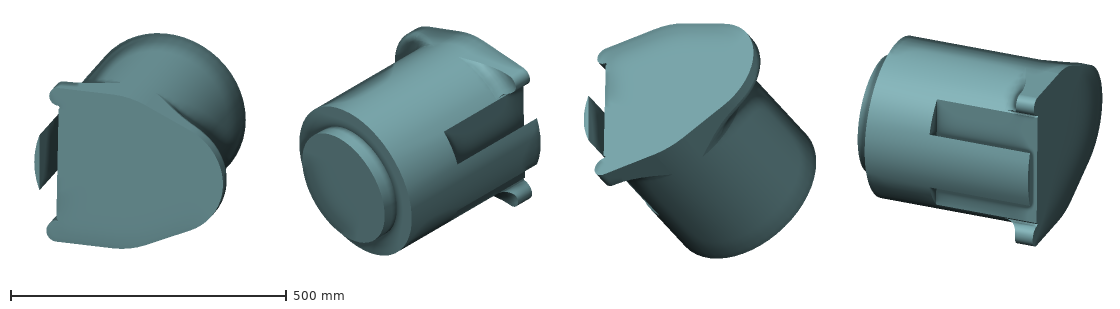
import cadquery as cq
import math

BARREL_RADIUS = 150.0
BARREL_LENGTH = 320.0
SPIGOT_RADIUS = 110.0
SPIGOT_LENGTH = 30.0

PLATE_THICKNESS = 35.0
ROOT_RADIUS = 30.0
FOOT_HEIGHT = PLATE_THICKNESS + ROOT_RADIUS
NOSE_REACH = 210.63
NOSE_RADIUS = 107.0
NOSE_EDGE_RADIUS = 15.0

UPPER_TOE_X = -104.0
UPPER_TOE_RADIUS = 17.35
UPPER_STEP_X = -103.3
UPPER_ROOT_X = -101.1
LOWER_TOE_X = -107.5
LOWER_TOE_RADIUS = 19.5
LOWER_STEP_X = -106.0
LOWER_ROOT_X = -103.8

SLOT_LENGTH = 197.0
SLOT_OUTER_X = -140.0
SLOT_INNER_X = -105.6
SLOT_WALL_TILT = math.radians(1.17)


def prism(profile, length):
    """Extrude an XZ profile from the mounting face towards +Y."""
    return profile.extrude(-length)


def barrel_height(x):
    """Half height of the barrel circle at a given X."""
    return math.sqrt(BARREL_RADIUS**2 - x**2)


def make_barrel():
    barrel = prism(cq.Workplane("XZ").circle(BARREL_RADIUS), BARREL_LENGTH)
    spigot = prism(cq.Workplane("XZ").circle(SPIGOT_RADIUS), BARREL_LENGTH + SPIGOT_LENGTH)
    return barrel.union(spigot)


def make_slot():
    half_height = BARREL_RADIUS
    lean = half_height * math.tan(SLOT_WALL_TILT)
    profile = cq.Workplane("XZ").polyline([
        (SLOT_OUTER_X, -half_height),
        (SLOT_INNER_X - lean, -half_height),
        (SLOT_INNER_X + lean, half_height),
        (SLOT_OUTER_X, half_height),
    ]).close()
    return prism(profile, SLOT_LENGTH)


def nose_blank(height):
    """Nose tapering along the two common tangents of barrel and nose arc."""
    center_x = NOSE_REACH - NOSE_RADIUS
    cos_tangent = (BARREL_RADIUS - NOSE_RADIUS) / center_x
    sin_tangent = math.sqrt(1 - cos_tangent**2)
    start = (BARREL_RADIUS * cos_tangent, BARREL_RADIUS * sin_tangent)
    end = (center_x + NOSE_RADIUS * cos_tangent, NOSE_RADIUS * sin_tangent)
    profile = (
        cq.Workplane("XZ")
        .moveTo(0, 0)
        .lineTo(*start)
        .lineTo(*end)
        .threePointArc((NOSE_REACH, 0), (end[0], -end[1]))
        .lineTo(start[0], -start[1])
        .close()
    )
    return prism(profile, height)


def toe_blank(height, side, toe_x, toe_radius, step_x, root_x):
    """Toe reaching towards -X, on the +Z side (side = 1) or the -Z side (side = -1)."""
    center_z = BARREL_RADIUS - toe_radius
    inner_z = center_z - toe_radius
    profile = (
        cq.Workplane("XZ")
        .moveTo(0, 0)
        .lineTo(0, side * BARREL_RADIUS)
        .lineTo(toe_x, side * BARREL_RADIUS)
        .threePointArc((toe_x - toe_radius, side * center_z), (toe_x, side * inner_z))
        .lineTo(step_x, side * inner_z)
        .lineTo(root_x, side * barrel_height(root_x))
        .close()
    )
    return prism(profile, height)


def make_root_envelope():
    """Solid of revolution under the plate top and its concave root blend."""
    blend_outer = BARREL_RADIUS + ROOT_RADIUS
    outer = NOSE_REACH + ROOT_RADIUS
    inner = BARREL_RADIUS / 2
    chord = ROOT_RADIUS * (1 - math.sqrt(0.5))
    return (
        cq.Workplane("XY")
        .moveTo(inner, 0)
        .lineTo(outer, 0)
        .lineTo(outer, PLATE_THICKNESS)
        .lineTo(blend_outer, PLATE_THICKNESS)
        .threePointArc(
            (BARREL_RADIUS + chord, PLATE_THICKNESS + chord),
            (BARREL_RADIUS, FOOT_HEIGHT),
        )
        .lineTo(inner, FOOT_HEIGHT)
        .close()
        .revolve(360, (0, 0, 0), (0, 1, 0))
    )


def make_nose():
    """Nose foot with its outer top edge rounded along the whole tangent run."""
    rim_point = (NOSE_REACH, PLATE_THICKNESS, 0)
    nose = nose_blank(FOOT_HEIGHT).intersect(make_root_envelope())
    return nose.edges(cq.selectors.NearestToPointSelector(rim_point)).fillet(NOSE_EDGE_RADIUS)


def make_toes():
    upper = toe_blank(FOOT_HEIGHT, 1, UPPER_TOE_X, UPPER_TOE_RADIUS, UPPER_STEP_X, UPPER_ROOT_X)
    lower = toe_blank(FOOT_HEIGHT, -1, LOWER_TOE_X, LOWER_TOE_RADIUS, LOWER_STEP_X, LOWER_ROOT_X)
    return upper.union(lower).intersect(make_root_envelope())


result = make_barrel().cut(make_slot()).union(make_nose()).union(make_toes())